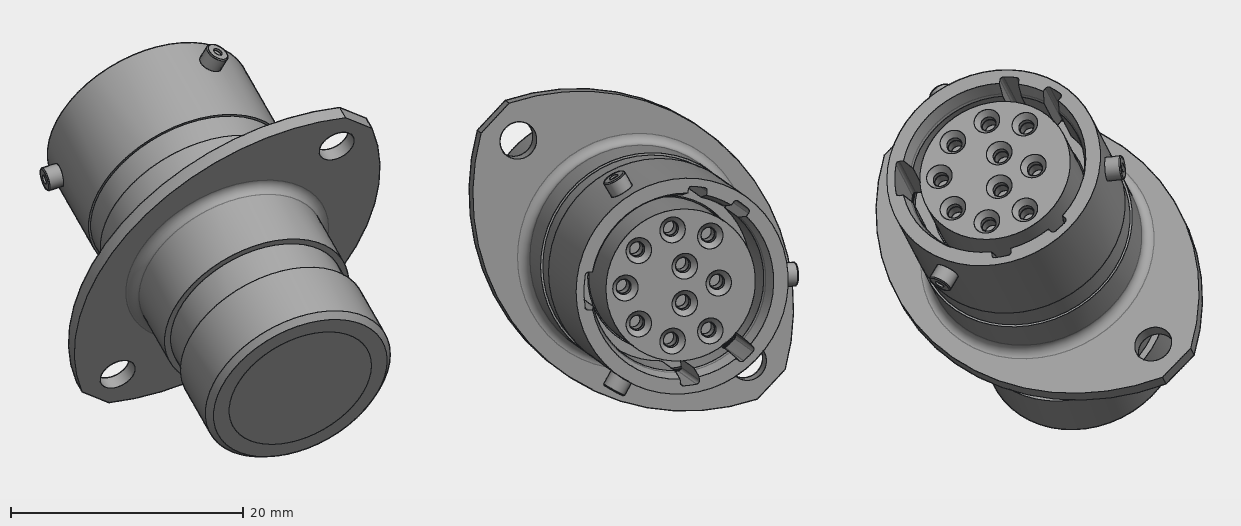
import cadquery as cq
import math


total_length = 33.3
front_radius = 9.45
band_groove_start = 9.03
band_groove_end = 11.63
band_groove_radius = 9.25
flange_front = 16.0
flange_thickness = 1.3
flange_back = flange_front + flange_thickness
flange_fillet = 0.85
rear_radius = 8.63
boot_groove_start = 23.75
boot_groove_end = 27.3
boot_groove_radius = 8.05
end_collar_radius = 8.65
end_chamfer = 0.53

flange_arc_radius = 20.0
flange_arc_offset = 8.03
flange_half_length = 17.42
mount_hole_distance = 14.5
mount_hole_radius = 1.63
flange_tilt = 45.0

bore_mouth_radius = 8.15
bore_radius = 7.7
bore_taper_length = 1.25
bore_bevel_radius = 7.8
bore_bevel_length = 0.25
bore_depth = 6.0
keyway_radius = 8.75
keyway_corner_radius = 0.3
wide_key_width = 3.33
narrow_key_width = 1.7
narrow_key_angles = (99.5, 128.5, 227.6, 265.3)

insert_radius = 6.65
insert_face = 0.5

seal_outer_radius = 8.65
seal_outer_bevel = 0.23
seal_inner_bevel = 0.13
seal_thickness = 2.0

cavity_circle_radius = 4.93
cavity_step_angle = 40.8
cavities_each_side = 3
lone_cavity_y = -3.4
inner_cavity_y = -0.35
inner_cavity_z = 1.63
cavity_mouth_radius = 1.13
cavity_radius = 0.65
cavity_cone_depth = 0.53
cavity_step_depth = 1.0
cavity_floor_radius = 0.63
cavity_depth = 2.0

pin_count = 3
pin_x = 2.55
pin_radius = 1.03
pin_base_distance = 8.73
pin_tip_distance = 10.83
pin_chamfer = 0.1
pin_dimple_radius = 0.4
pin_dimple_depth = 0.2
first_pin_angle = 180.0


def revolve_about_x(profile):
    """Turn a closed profile drawn in (x, radius) around the connector axis."""
    return profile.close().revolve(360, (0, 0, 0), (1, 0, 0))


def x_cylinder(start, end, radius):
    """Cylinder on the connector axis between two X positions."""
    return cq.Workplane("YZ").workplane(offset=start).circle(radius).extrude(end - start)


def make_barrel():
    """Outer turned form, with the concave fillets that run into the flange."""
    arc_depth = flange_fillet * (1 - math.sqrt(0.5))
    return revolve_about_x(
        cq.Workplane("XY")
        .moveTo(0, 0)
        .lineTo(0, front_radius)
        .lineTo(band_groove_start, front_radius)
        .lineTo(band_groove_start, band_groove_radius)
        .lineTo(band_groove_end, band_groove_radius)
        .lineTo(band_groove_end, front_radius)
        .lineTo(flange_front - flange_fillet, front_radius)
        .threePointArc(
            (flange_front - arc_depth, front_radius + arc_depth),
            (flange_front, front_radius + flange_fillet),
        )
        .lineTo(flange_back, front_radius + flange_fillet)
        .lineTo(flange_back, rear_radius + flange_fillet)
        .threePointArc(
            (flange_back + arc_depth, rear_radius + arc_depth),
            (flange_back + flange_fillet, rear_radius),
        )
        .lineTo(boot_groove_start, rear_radius)
        .lineTo(boot_groove_start, boot_groove_radius)
        .lineTo(boot_groove_end, boot_groove_radius)
        .lineTo(boot_groove_end, end_collar_radius)
        .lineTo(total_length - end_chamfer, end_collar_radius)
        .lineTo(total_length, end_collar_radius - end_chamfer)
        .lineTo(total_length, 0)
    )


def make_flange():
    """Lens-shaped plate with trimmed ends and two mounting holes, on the Y = Z diagonal."""
    corner = math.sqrt(flange_arc_radius**2 - flange_half_length**2) - flange_arc_offset
    middle = flange_arc_radius - flange_arc_offset
    plate = (
        cq.Workplane("YZ")
        .workplane(offset=flange_front)
        .moveTo(-flange_half_length, corner)
        .threePointArc((0, middle), (flange_half_length, corner))
        .lineTo(flange_half_length, -corner)
        .threePointArc((0, -middle), (-flange_half_length, -corner))
        .close()
        .extrude(flange_thickness)
    )
    holes = (
        cq.Workplane("YZ")
        .workplane(offset=flange_front)
        .pushPoints([(-mount_hole_distance, 0), (mount_hole_distance, 0)])
        .circle(mount_hole_radius)
        .extrude(flange_thickness)
    )
    return plate.cut(holes).rotate((0, 0, 0), (1, 0, 0), flange_tilt)


def make_front_bore():
    """Space in front of the seal ring: a bore tapering inward from its mouth to a short bevel."""
    return revolve_about_x(
        cq.Workplane("XY")
        .moveTo(0, 0)
        .lineTo(0, bore_mouth_radius)
        .lineTo(bore_taper_length, bore_bevel_radius)
        .lineTo(bore_taper_length + bore_bevel_length, bore_radius)
        .lineTo(bore_depth, bore_radius)
        .lineTo(bore_depth, 0)
    )


def make_keyway(width, angle):
    """Radial slot with a round floor and rounded corners, at an angle from +Y towards +Z."""
    half_width = width / 2
    wall_height = math.sqrt(keyway_radius**2 - half_width**2)
    slot = (
        cq.Workplane("YZ")
        .moveTo(0, -half_width)
        .lineTo(wall_height, -half_width)
        .threePointArc((keyway_radius, 0), (wall_height, half_width))
        .lineTo(0, half_width)
        .close()
        .extrude(bore_depth)
        .edges("|X")
        .edges(">Y")
        .fillet(keyway_corner_radius)
    )
    return slot.rotate((0, 0, 0), (1, 0, 0), angle)


def make_seal_ring():
    """Ring around the insert, with its front edges bevelled inside and outside."""
    seal_back = bore_depth + seal_thickness
    return revolve_about_x(
        cq.Workplane("XY")
        .moveTo(seal_back, insert_radius)
        .lineTo(bore_depth + seal_inner_bevel, insert_radius)
        .lineTo(bore_depth, insert_radius + seal_inner_bevel)
        .lineTo(bore_depth, seal_outer_radius - seal_outer_bevel)
        .lineTo(bore_depth + seal_outer_bevel, seal_outer_radius)
        .lineTo(seal_back, seal_outer_radius)
    )


def cavity_positions():
    """(y, z) of every contact cavity."""
    points = [
        (lone_cavity_y, 0),
        (inner_cavity_y, inner_cavity_z),
        (inner_cavity_y, -inner_cavity_z),
    ]
    for step in range(-cavities_each_side, cavities_each_side + 1):
        angle = math.radians(step * cavity_step_angle)
        points.append((cavity_circle_radius * math.cos(angle), cavity_circle_radius * math.sin(angle)))
    return points


def make_cavity(y, z):
    """Blind stepped contact cavity with a conical lead-in, sunk from the insert face."""
    step_x = insert_face + cavity_step_depth
    floor_x = insert_face + cavity_depth
    cavity = revolve_about_x(
        cq.Workplane("XY")
        .moveTo(insert_face, 0)
        .lineTo(insert_face, cavity_mouth_radius)
        .lineTo(insert_face + cavity_cone_depth, cavity_radius)
        .lineTo(step_x, cavity_radius)
        .lineTo(step_x, cavity_floor_radius)
        .lineTo(floor_x, cavity_floor_radius)
        .lineTo(floor_x, 0)
    )
    return cavity.translate((0, y, z))


def make_insert():
    """Cylinder with all its contact cavities."""
    insert = x_cylinder(insert_face, total_length, insert_radius)
    for y, z in cavity_positions():
        insert = insert.cut(make_cavity(y, z))
    return insert


def make_pin(angle):
    """Bayonet pin pointing outward, with a bevelled tip and a small centre dimple."""
    pin = (
        cq.Workplane("XZ", origin=(pin_x, pin_base_distance, 0))
        .circle(pin_radius)
        .extrude(pin_base_distance - pin_tip_distance)
        .faces(">Y")
        .chamfer(pin_chamfer)
        .faces(">Y")
        .workplane()
        .circle(pin_dimple_radius)
        .cutBlind(-pin_dimple_depth)
    )
    return pin.rotate((0, 0, 0), (1, 0, 0), angle)


def make_shell(pins):
    """Barrel and flange in one, hollowed for the insert, the seal ring and the roots of the pins."""
    shell = make_barrel().union(make_flange())
    shell = shell.cut(make_front_bore())
    shell = shell.cut(make_keyway(wide_key_width, 0))
    for angle in narrow_key_angles:
        shell = shell.cut(make_keyway(narrow_key_width, angle))
    shell = shell.cut(x_cylinder(insert_face, total_length, insert_radius))
    shell = shell.cut(x_cylinder(bore_depth, bore_depth + seal_thickness, seal_outer_radius))
    for pin in pins:
        shell = shell.cut(pin)
    return shell


pins = [make_pin(first_pin_angle + i * 360 / pin_count) for i in range(pin_count)]
insert = make_insert()
seal_ring = make_seal_ring()
shell = make_shell(pins)

result = cq.Compound.makeCompound(
    [shell.val(), insert.val(), seal_ring.val(), *[pin.val() for pin in pins]]
)